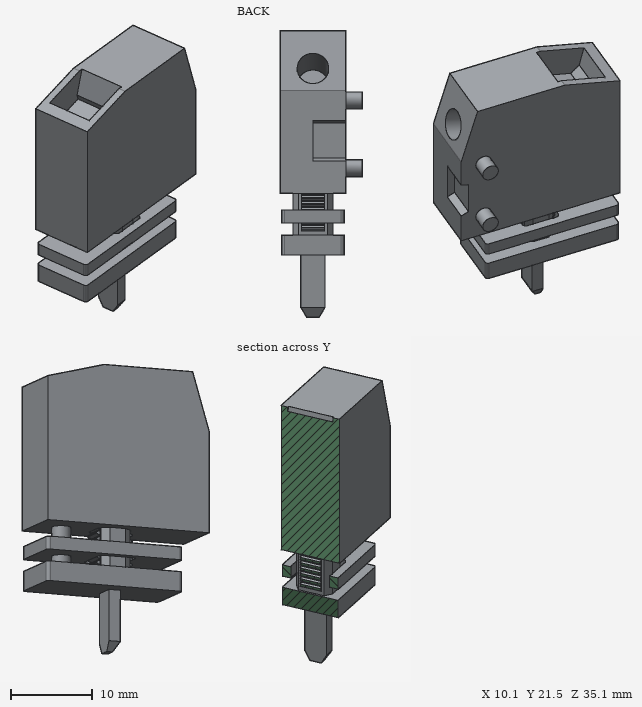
import cadquery as cq
import math


OVERALL_HEIGHT = 35.15
HOUSING_WIDTH = 8.05
HOUSING_DEPTH = 21.5
HOUSING_HEIGHT = 19.95

FRONT_SLOPE_RUN = 7.5
FRONT_SLOPE_DROP = 1.97
REAR_SLOPE_RUN = 2.2
REAR_SLOPE_DROP = 7.3
FRONT_SLOPE_ANGLE = math.atan2(FRONT_SLOPE_DROP, FRONT_SLOPE_RUN)

WIRE_HOLE_DIAMETER = 3.85
WIRE_HOLE_DEPTH = 7.03
WIRE_HOLE_FROM_REAR = 0.8

POCKET_WIDTH = 6.15
POCKET_FRONT = 1.58
POCKET_REAR = 7.98
POCKET_REAR_DRAFT = 1.0
POCKET_REAR_DROP = 3.35
POCKET_STEP_LENGTH = 0.7
POCKET_FRONT_DRAFT = 0.65
POCKET_FRONT_DROP = 2.53
POCKET_FLOOR_FRONT = 3.37

NOTCH_DEPTH = 1.0
NOTCH_BOTTOM = 3.97
NOTCH_TOP = 8.93
NOTCH_BOTTOM_TAPER = 0.4
NOTCH_TOP_TAPER = 0.28
NOTCH_LENGTH = HOUSING_WIDTH / 2

PEG_DIAMETER = 2.1
PEG_LENGTH = 2.05
PEG_FROM_FRONT = 18.5
PEG_HEIGHTS = (3.1, 11.4)

PLATE_WIDTH = 7.7
PLATE_DEPTH = 18.03
PLATE_CORNER_RADIUS = 0.4
UPPER_GAP = 2.0
UPPER_PLATE_THICKNESS = 1.6
LOWER_GAP = 1.48
LOWER_PLATE_THICKNESS = 2.45
UPPER_PLATE_BOTTOM = -(UPPER_GAP + UPPER_PLATE_THICKNESS)
LOWER_PLATE_TOP = UPPER_PLATE_BOTTOM - LOWER_GAP
LOWER_PLATE_BOTTOM = LOWER_PLATE_TOP - LOWER_PLATE_THICKNESS

POST_WIDTH = 4.92
POST_DEPTH = 3.85
POST_FROM_FRONT = 9.98
POST_CHAMFER_X = 0.7
POST_CHAMFER_Y = 0.88
TOOTH_WIDTH = 2.8
TOOTH_REACH = 0.45
TOOTH_PITCH = 0.75
TOOTH_ROOT_HEIGHT = 0.65
TOOTH_TIP_HEIGHT = 0.15
TOOTH_COUNT = 7
FIRST_TOOTH_Z = 0.18
ROD_DIAMETER = 2.35
ROD_FROM_FRONT = 3.48

OPENING_WIDTH = 5.45
OPENING_DEPTH = 4.85
OPENING_CORNER_RADIUS = 0.53

BLADE_WIDTH = 3.0
BLADE_THICKNESS = 1.5
BLADE_TIP_WIDTH = 1.55
BLADE_TIP_THICKNESS = 0.77
BLADE_TIP_LENGTH = 1.23
BLADE_BOTTOM = HOUSING_HEIGHT - OVERALL_HEIGHT


def extrude_yz(points, width):
    """Prism with a Y-Z outline, centred on X = 0."""
    return cq.Workplane("YZ").polyline(points).close().extrude(width / 2, both=True)


def housing_block():
    return extrude_yz(
        [
            (0, 0),
            (HOUSING_DEPTH, 0),
            (HOUSING_DEPTH, HOUSING_HEIGHT - REAR_SLOPE_DROP),
            (HOUSING_DEPTH - REAR_SLOPE_RUN, HOUSING_HEIGHT),
            (FRONT_SLOPE_RUN, HOUSING_HEIGHT),
            (0, HOUSING_HEIGHT - FRONT_SLOPE_DROP),
        ],
        HOUSING_WIDTH,
    )


def wire_hole():
    """Blind round hole drilled square to the rear slope."""
    rise = WIRE_HOLE_FROM_REAR * REAR_SLOPE_DROP / REAR_SLOPE_RUN
    centre_y = HOUSING_DEPTH - WIRE_HOLE_FROM_REAR
    centre_z = HOUSING_HEIGHT - REAR_SLOPE_DROP + rise
    slope_normal = (0, REAR_SLOPE_DROP, REAR_SLOPE_RUN)
    mouth = cq.Plane(origin=(0, centre_y, centre_z), xDir=(1, 0, 0), normal=slope_normal)
    return cq.Workplane(mouth).circle(WIRE_HOLE_DIAMETER / 2).extrude(-WIRE_HOLE_DEPTH)


def tool_pocket():
    """Drafted pocket whose stepped floor runs parallel to the front slope."""
    slope = math.tan(FRONT_SLOPE_ANGLE)
    mouth_front_z = HOUSING_HEIGHT - (FRONT_SLOPE_RUN - POCKET_FRONT) * slope
    step_top_y = POCKET_REAR - POCKET_REAR_DRAFT
    step_top_z = HOUSING_HEIGHT - POCKET_REAR_DROP
    floor_rear_y = step_top_y + POCKET_STEP_LENGTH * math.sin(FRONT_SLOPE_ANGLE)
    floor_rear_z = step_top_z - POCKET_STEP_LENGTH * math.cos(FRONT_SLOPE_ANGLE)
    floor_front_z = floor_rear_z - (floor_rear_y - POCKET_FLOOR_FRONT) * slope
    return extrude_yz(
        [
            (POCKET_FRONT, mouth_front_z),
            (POCKET_FRONT + POCKET_FRONT_DRAFT, mouth_front_z - POCKET_FRONT_DROP),
            (POCKET_FLOOR_FRONT, floor_front_z),
            (floor_rear_y, floor_rear_z),
            (step_top_y, step_top_z),
            (POCKET_REAR, HOUSING_HEIGHT),
            (POCKET_FRONT, HOUSING_HEIGHT),
        ],
        POCKET_WIDTH,
    )


def rear_notch():
    """Tapered notch, open at the rear face and at the peg side."""
    floor_y = HOUSING_DEPTH - NOTCH_DEPTH
    return (
        cq.Workplane("YZ", origin=(-HOUSING_WIDTH / 2, 0, 0))
        .polyline(
            [
                (HOUSING_DEPTH, NOTCH_BOTTOM),
                (floor_y, NOTCH_BOTTOM + NOTCH_BOTTOM_TAPER),
                (floor_y, NOTCH_TOP - NOTCH_TOP_TAPER),
                (HOUSING_DEPTH, NOTCH_TOP),
            ]
        )
        .close()
        .extrude(NOTCH_LENGTH)
    )


def side_pegs():
    return (
        cq.Workplane("YZ", origin=(-HOUSING_WIDTH / 2, 0, 0))
        .pushPoints([(PEG_FROM_FRONT, height) for height in PEG_HEIGHTS])
        .circle(PEG_DIAMETER / 2)
        .extrude(-PEG_LENGTH)
    )


def octagon_post():
    """Eight-sided post between the housing and the lower plate."""
    half_x = POST_WIDTH / 2
    half_y = POST_DEPTH / 2
    flat_x = half_x - POST_CHAMFER_X
    flat_y = half_y - POST_CHAMFER_Y
    return (
        cq.Workplane("XY", origin=(0, POST_FROM_FRONT, 0))
        .polyline(
            [
                (half_x, -flat_y),
                (half_x, flat_y),
                (flat_x, half_y),
                (-flat_x, half_y),
                (-half_x, flat_y),
                (-half_x, -flat_y),
                (-flat_x, -half_y),
                (flat_x, -half_y),
            ]
        )
        .close()
        .extrude(LOWER_PLATE_TOP)
    )


def ratchet_tooth(centre_z, side):
    """Straight tooth on the rear (side = 1) or front (side = -1) flat of the post."""
    root_y = POST_FROM_FRONT + side * POST_DEPTH / 2
    tip_y = root_y + side * TOOTH_REACH
    half_root = TOOTH_ROOT_HEIGHT / 2
    half_tip = TOOTH_TIP_HEIGHT / 2
    return extrude_yz(
        [
            (POST_FROM_FRONT, centre_z - half_root),
            (root_y, centre_z - half_root),
            (tip_y, centre_z - half_tip),
            (tip_y, centre_z + half_tip),
            (root_y, centre_z + half_root),
            (POST_FROM_FRONT, centre_z + half_root),
        ],
        TOOTH_WIDTH,
    )


def toothed_post():
    """Post with its two rows of teeth, cut off level with the housing underside."""
    post = octagon_post()
    for index in range(TOOTH_COUNT):
        for side in (1, -1):
            post = post.union(ratchet_tooth(FIRST_TOOTH_Z - index * TOOTH_PITCH, side))
    return post.cut(housing_block())


def guide_rod():
    return (
        cq.Workplane("XY", origin=(0, ROD_FROM_FRONT, 0))
        .circle(ROD_DIAMETER / 2)
        .extrude(LOWER_PLATE_TOP)
    )


def make_housing():
    housing = housing_block().cut(wire_hole()).cut(tool_pocket()).cut(rear_notch())
    return housing.union(side_pegs())


def plate_blank(bottom, thickness):
    """Rounded plate, flush with the front face of the housing."""
    return (
        cq.Workplane("XY", origin=(0, PLATE_DEPTH / 2, bottom))
        .rect(PLATE_WIDTH, PLATE_DEPTH)
        .extrude(thickness)
        .edges("|Z")
        .fillet(PLATE_CORNER_RADIUS)
    )


def post_opening():
    """Rounded opening that clears the post and its teeth."""
    return (
        cq.Workplane("XY", origin=(0, POST_FROM_FRONT, 0))
        .rect(OPENING_WIDTH, OPENING_DEPTH)
        .extrude(LOWER_PLATE_TOP)
        .edges("|Z")
        .fillet(OPENING_CORNER_RADIUS)
    )


def make_upper_plate():
    """Plate around the post and the guide rod."""
    blank = plate_blank(UPPER_PLATE_BOTTOM, UPPER_PLATE_THICKNESS)
    return blank.cut(post_opening()).cut(guide_rod())


def make_blade():
    """Contact blade through the lower plate, tapered on both edges and on its rear face."""
    half_width = BLADE_WIDTH / 2
    half_tip = BLADE_TIP_WIDTH / 2
    shoulder_z = BLADE_BOTTOM + BLADE_TIP_LENGTH
    front_y = POST_FROM_FRONT - BLADE_THICKNESS / 2
    rear_y = front_y + BLADE_THICKNESS
    edge_profile = (
        cq.Workplane("XZ", origin=(0, front_y, 0))
        .polyline(
            [
                (-half_width, LOWER_PLATE_TOP),
                (-half_width, shoulder_z),
                (-half_tip, BLADE_BOTTOM),
                (half_tip, BLADE_BOTTOM),
                (half_width, shoulder_z),
                (half_width, LOWER_PLATE_TOP),
            ]
        )
        .close()
        .extrude(-BLADE_THICKNESS)
    )
    side_profile = extrude_yz(
        [
            (front_y, LOWER_PLATE_TOP),
            (front_y, BLADE_BOTTOM),
            (front_y + BLADE_TIP_THICKNESS, BLADE_BOTTOM),
            (rear_y, shoulder_z),
            (rear_y, LOWER_PLATE_TOP),
        ],
        BLADE_WIDTH,
    )
    return edge_profile.intersect(side_profile)


def make_lower_plate(blade):
    """Thick plate slotted for the blade, with the post and guide rod standing on it."""
    plate = plate_blank(LOWER_PLATE_BOTTOM, LOWER_PLATE_THICKNESS).cut(blade)
    return plate.union(toothed_post()).union(guide_rod())


housing = make_housing()
upper_plate = make_upper_plate()
blade = make_blade()
lower_plate = make_lower_plate(blade)

result = cq.Compound.makeCompound([housing.val(), upper_plate.val(), lower_plate.val(), blade.val()])